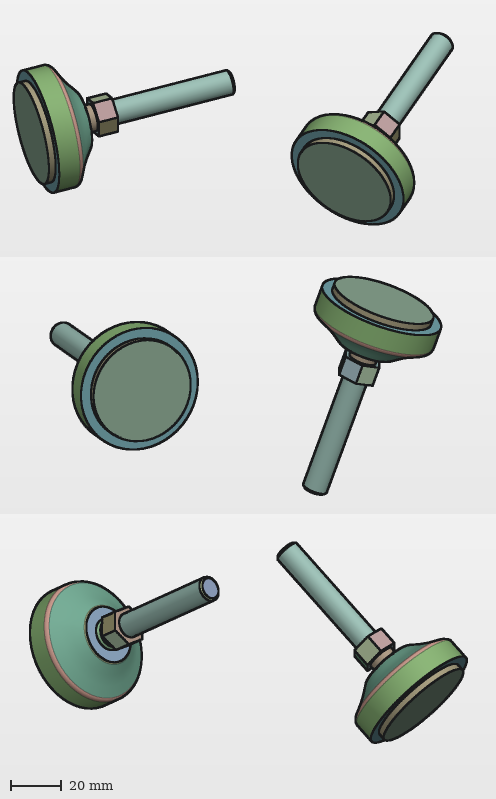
import cadquery as cq
import math

total_length = 84.0

pad_diameter = 41.5
pad_height = 2.85
foot_diameter = 50.0
rim_top = 11.6
slope_start = 13.35
slope_start_radius = 23.85
slope_end = 21.1
slope_end_radius = 12.3
slope_sag = 0.4
foot_top = 21.5
top_face_radius = 11.5

flare_diameter = 12.9
neck_diameter = 11.0
neck_bottom = 22.9
hex_bottom = 25.95
hex_height = 8.0
hex_across_flats = 14.0
rod_diameter = 10.0
rod_chamfer = 0.8


def make_foot():
    """Pad, rim and hollow sloping flank, revolved about Y."""
    slope_run = slope_start_radius - slope_end_radius
    slope_rise = slope_end - slope_start
    slope_length = math.hypot(slope_run, slope_rise)
    flank_middle = (
        (slope_start_radius + slope_end_radius) / 2 - slope_sag * slope_rise / slope_length,
        (slope_start + slope_end) / 2 - slope_sag * slope_run / slope_length,
    )
    profile = (
        cq.Workplane("XY")
        .lineTo(pad_diameter / 2, 0)
        .lineTo(pad_diameter / 2, pad_height)
        .lineTo(foot_diameter / 2, pad_height)
        .lineTo(foot_diameter / 2, rim_top)
        .tangentArcPoint((slope_start_radius, slope_start), relative=False)
        .threePointArc(flank_middle, (slope_end_radius, slope_end))
        .tangentArcPoint((top_face_radius, foot_top), relative=False)
        .lineTo(0, foot_top)
        .close()
    )
    return profile.revolve(360, (0, 0, 0), (0, 1, 0))


def make_stem():
    """Flared neck and chamfered rod, revolved about Y."""
    profile = (
        cq.Workplane("XY")
        .moveTo(0, foot_top)
        .lineTo(flare_diameter / 2, foot_top)
        .lineTo(neck_diameter / 2, neck_bottom)
        .lineTo(neck_diameter / 2, hex_bottom)
        .lineTo(rod_diameter / 2, hex_bottom)
        .lineTo(rod_diameter / 2, total_length - rod_chamfer)
        .lineTo(rod_diameter / 2 - rod_chamfer, total_length)
        .lineTo(0, total_length)
        .close()
    )
    return profile.revolve(360, (0, 0, 0), (0, 1, 0))


def make_hexagon():
    """Wrench hexagon with two flats facing X and corners along Z."""
    corner_diameter = hex_across_flats / math.cos(math.pi / 6)
    return (
        cq.Workplane("XZ", origin=(0, hex_bottom, 0))
        .transformed(rotate=(0, 0, 90))
        .polygon(6, corner_diameter)
        .extrude(-hex_height)
    )


result = make_foot().union(make_stem()).union(make_hexagon())